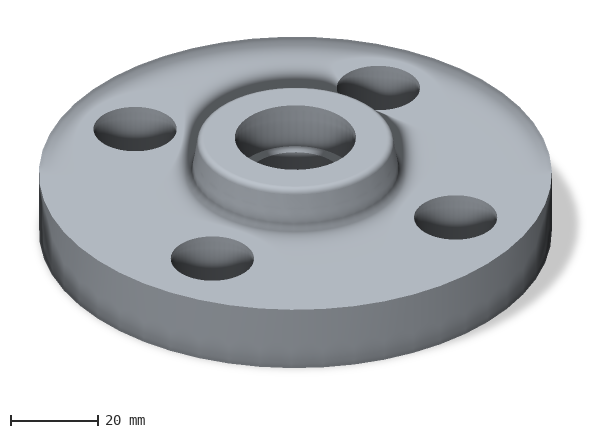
import cadquery as cq
import math

flange_diameter = 117.348
flange_thickness = 15.75
overall_height = 25.4

bolt_hole_count = 4
bolt_hole_diameter = 19.05
bolt_circle_diameter = 82.55

hub_base_diameter = 47.75
hub_top_diameter = 44.5
hub_root_fillet = 1.5
hub_top_fillet = 1.5

bore_diameter = 22.4
socket_diameter = 27.7
socket_depth = 11.0


def make_flange_plate():
    return cq.Workplane("XY").circle(flange_diameter / 2).extrude(flange_thickness)


def make_hub():
    """Solid cone frustum standing on the upper face of the plate."""
    hub_height = overall_height - flange_thickness
    taper_angle = math.degrees(math.atan2((hub_base_diameter - hub_top_diameter) / 2, hub_height))
    return (
        cq.Workplane("XY")
        .workplane(offset=flange_thickness)
        .circle(hub_base_diameter / 2)
        .extrude(hub_height, taper=taper_angle)
    )


def round_hub(body):
    """Blend the conical side of the hub into the plate and round its top rim."""
    body = body.faces(">Z").edges().fillet(hub_top_fillet)
    return body.faces("%CONE").edges("<Z").fillet(hub_root_fillet)


def cut_bolt_holes(body):
    holes = (
        cq.Workplane("XY")
        .polarArray(bolt_circle_diameter / 2, 0, 360, bolt_hole_count)
        .circle(bolt_hole_diameter / 2)
        .extrude(overall_height)
    )
    return body.cut(holes)


def cut_stepped_bore(body):
    """Through bore, widened to a pipe socket from the top of the hub."""
    return body.faces(">Z").workplane(origin=(0, 0, overall_height)).cboreHole(
        bore_diameter, socket_diameter, socket_depth
    )


rounded_body = round_hub(make_flange_plate().union(make_hub()))
result = cut_stepped_bore(cut_bolt_holes(rounded_body))